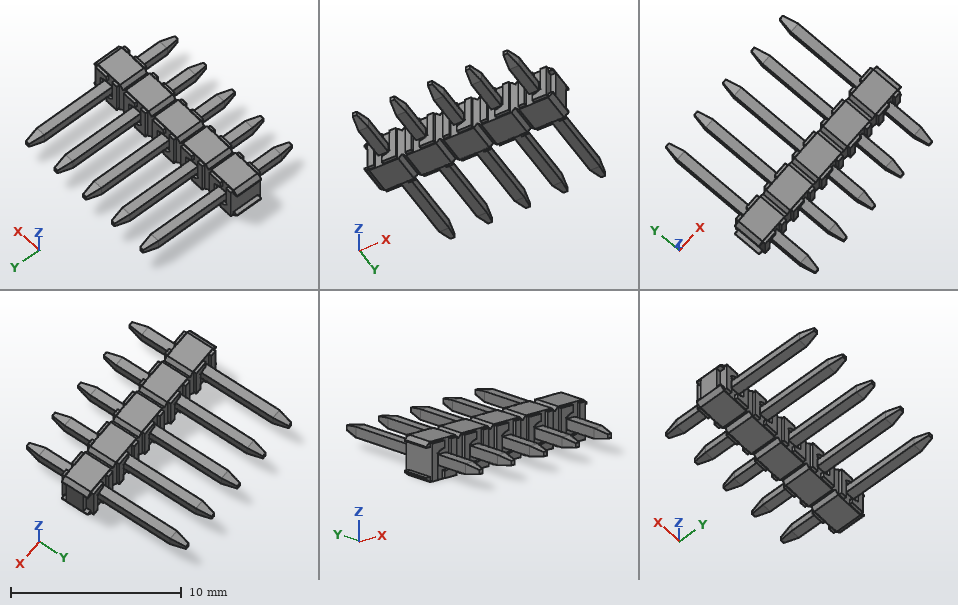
import cadquery as cq


pin_count = 5
pitch = 2.54
row_length = pin_count * pitch
pin_places = [(i - (pin_count - 1) / 2) * pitch for i in range(pin_count)]

body_depth = 1.88
body_height = 2.49
notch_half_width = 0.25
notch_depth = 0.25

end_recess = 0.32
lip_thickness = 0.33
tongue_setback = 0.32

standoff_width = 1.9
standoff_height = 2.34
standoff_thickness = 0.2
channel_half_width = 0.53
channel_radius = 0.71

pin_width = 0.66
pin_tip_width = 0.28
pin_taper = 1.02
front_reach = 4.32
back_reach = 7.24

half_row = row_length / 2
half_height = body_height / 2


def box(x_range, y_range, z_range):
    """Box given by its lower and upper limit along each axis."""
    (x0, x1), (y0, y1), (z0, z1) = x_range, y_range, z_range
    return cq.Workplane("XY").box(x1 - x0, y1 - y0, z1 - z0, centered=False).translate((x0, y0, z0))


def make_body():
    """Bar with sloped ends, V notches between the pins and hollowed end faces."""
    shoulder = half_height - notch_depth
    flat_end = half_row - end_recess
    notch_places = [x + pitch / 2 for x in pin_places[:-1]]

    top_edge = [(-half_row, shoulder), (-flat_end, half_height)]
    for x in notch_places:
        top_edge.append((x - notch_half_width, half_height))
        top_edge.append((x, shoulder))
        top_edge.append((x + notch_half_width, half_height))
    top_edge += [(flat_end, half_height), (half_row, shoulder)]
    bottom_edge = [(x, -z) for x, z in reversed(top_edge)]

    half_depth = body_depth / 2
    body = (
        cq.Workplane("XZ")
        .polyline(top_edge + bottom_edge)
        .close()
        .extrude(half_depth, both=True)
    )

    lip_z = half_height - lip_thickness
    gap_z = (-lip_z, lip_z)
    tongue_y = half_depth - tongue_setback
    body = body.cut(box((-half_row, -flat_end), (-half_depth, half_depth), gap_z))
    body = body.cut(box((flat_end, half_row), (-half_depth, -tongue_y), gap_z))
    body = body.cut(box((flat_end, half_row), (tongue_y, half_depth), gap_z))
    return body


def make_front_standoff():
    """Raised pad on the front face, split by an S-shaped channel that rounds the pin."""
    half_width = standoff_width / 2
    half_pad = standoff_height / 2
    front = -body_depth / 2
    y_range = (front - standoff_thickness, front)

    pad = box((-half_width, half_width), y_range, (-half_pad, half_pad))
    upper_leg = box((0, channel_half_width), y_range, (0, half_pad))
    lower_leg = box((-channel_half_width, 0), y_range, (-half_pad, 0))
    round_middle = (
        cq.Workplane("XZ", origin=(0, front, 0))
        .circle(channel_radius)
        .extrude(standoff_thickness)
        .intersect(box((-channel_half_width, channel_half_width), y_range, (-half_pad, half_pad)))
    )
    return pad.cut(upper_leg).cut(lower_leg).cut(round_middle)


def make_pin():
    """Square pin, longer at the back, tapered at both ends."""

    def tapered_tip(base_y, direction):
        return (
            cq.Workplane("XZ", origin=(0, base_y, 0))
            .rect(pin_width, pin_width)
            .workplane(offset=-direction * pin_taper)
            .rect(pin_tip_width, pin_tip_width)
            .loft(ruled=True)
        )

    shank_front = -front_reach + pin_taper
    shank_back = back_reach - pin_taper
    half = pin_width / 2
    shank = box((-half, half), (shank_front, shank_back), (-half, half))
    return shank.union(tapered_tip(shank_front, -1)).union(tapered_tip(shank_back, 1))


front_standoff = make_front_standoff()
back_standoff = front_standoff.rotate((0, 0, 0), (0, 0, 1), 180)
pin = make_pin()

result = make_body()
for x in pin_places:
    for feature in (front_standoff, back_standoff, pin):
        result = result.union(feature.translate((x, 0, 0)))